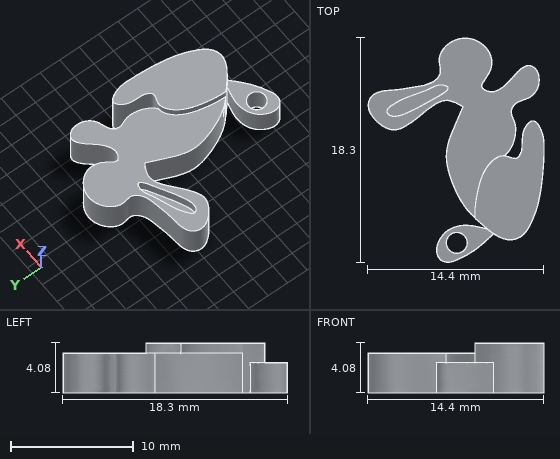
import cadquery as cq

body_height = 3.27
haunch_height = 4.08
loop_height = 2.49
ear_pocket_depth = 1.13
loop_hole_radius = 0.85
loop_hole_center = (7.25, 1.6)

throat = (7.74, 12.7)
body_end = (10.97, 2.56)
belly_curve = [
    throat,
    (7.11, 11.25),
    (6.58, 9.88),
    (6.38, 8.6),
    (6.55, 7.5),
    (7.22, 5.67),
    (7.92, 4.5),
    (8.75, 3.62),
    body_end,
]
back_and_head_curve = [
    (11.15, 8.7),
    (11.75, 9.45),
    (12.03, 10.45),
    (11.96, 11.45),
    (11.69, 12.3),
    (11.95, 12.85),
    (13.15, 13.42),
    (13.79, 14.08),
    (13.97, 14.9),
    (13.7, 15.75),
    (13.13, 16.05),
    (12.44, 15.75),
    (11.47, 14.7),
    (10.6, 14.05),
    (9.91, 13.92),
    (9.3, 14.32),
    (9.65, 15.07),
    (10.02, 15.75),
    (10.1, 16.55),
    (9.5, 17.65),
    (7.95, 18.29),
    (6.33, 17.61),
    (5.8, 16.46),
    (5.89, 15.4),
    (5.34, 14.75),
    (3.8, 14.3),
    (2.56, 14.1),
    (1.1, 13.95),
    (0.3, 13.53),
    (0.02, 12.77),
    (0.45, 11.78),
    (1.25, 11.08),
    (2.12, 10.8),
    (3.13, 11.14),
    (4.48, 12.15),
    (5.58, 12.95),
    (6.5, 13.2),
    (7.13, 13.02),
    throat,
]

ear_pocket_curve = [
    (1.57, 12.24),
    (1.75, 12.0),
    (2.2, 11.9),
    (3.11, 12.15),
    (4.43, 12.8),
    (5.56, 13.42),
    (6.31, 13.9),
    (6.55, 14.23),
    (6.15, 14.45),
    (5.03, 14.15),
    (3.11, 13.42),
    (1.92, 12.78),
]

haunch_corner = (8.72, 3.6)
haunch_curve = [
    haunch_corner,
    (9.97, 2.52),
    (10.7, 2.07),
    (11.61, 1.83),
    (12.6, 2.2),
    (13.3, 3.18),
    (13.8, 4.5),
    (14.15, 6.22),
    (14.34, 8.14),
    (14.38, 9.45),
    (14.14, 10.77),
    (13.45, 11.55),
    (12.9, 11.12),
    (12.58, 10.11),
    (12.42, 8.8),
    (12.18, 8.52),
    (11.15, 8.69),
    (10.25, 8.35),
    (9.36, 7.15),
    (8.89, 5.49),
    (8.72, 4.2),
    haunch_corner,
]

loop_root = (10.52, 2.56)
loop_curve = [
    loop_root,
    (9.55, 2.78),
    (7.68, 3.02),
    (6.4, 2.52),
    (5.85, 1.87),
    (5.6, 0.91),
    (5.9, 0.22),
    (6.5, 0.0),
    (7.33, 0.22),
    (9.0, 1.2),
    (10.11, 2.2),
    loop_root,
]


def solid_from_curve(points, height):
    """Extrude an outline whose last point repeats its first, leaving a corner there."""
    return cq.Workplane("XY").spline(points).close().extrude(height)


body = (
    cq.Workplane("XY")
    .moveTo(*throat)
    .spline(belly_curve[1:], includeCurrent=True)
    .lineTo(*back_and_head_curve[0])
    .spline(back_and_head_curve[1:], includeCurrent=True)
    .close()
    .extrude(body_height)
)

ear_pocket = (
    cq.Workplane("XY")
    .workplane(offset=body_height - ear_pocket_depth)
    .spline(ear_pocket_curve, periodic=True)
    .close()
    .extrude(ear_pocket_depth)
)

loop_hole = (
    cq.Workplane("XY")
    .center(*loop_hole_center)
    .circle(loop_hole_radius)
    .extrude(loop_height)
)

haunch = solid_from_curve(haunch_curve, haunch_height)
loop = solid_from_curve(loop_curve, loop_height).cut(loop_hole)

result = body.cut(ear_pocket).union(haunch).union(loop)